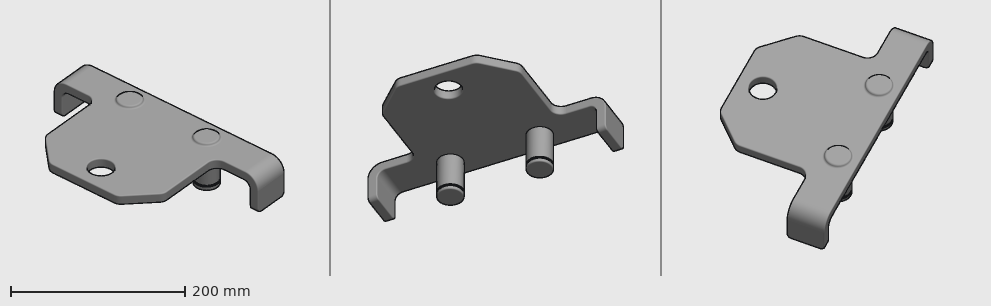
import cadquery as cq
import math

plate_length = 304.8
plate_depth = 177.8
thickness = 12.7
leg_height = 50.8
bend_outer_radius = 19.05
bend_inner_radius = 9.525
edge_round = 1.5875

wing_depth = 47.625
tongue_width = 177.8
corner_cut = 38.1
outline_round = 12.7
leg_corner_round = 6.35

hole_diameter = 31.877
hole_front_offset = 31.75
hole_y = hole_front_offset - plate_depth

pin_diameter = 31.75
pin_spacing = 114.3
pin_back_offset = 25.4
pin_length = 63.5
pin_end_round = 1.5875
groove_width = 1.8
groove_depth = 1.190625
groove_end_offset = 5.55625

head_height = 3.175
head_flat_radius = 13.2
head_base_radius = 18.1


def bent_section():
    """U-shaped bar: top plate and two legs, swept over the full depth."""
    inner_length = plate_length - 2 * thickness
    outer = (
        cq.Workplane("XY")
        .box(plate_length, plate_depth, leg_height, centered=(True, False, False))
        .edges("|Y and >Z")
        .fillet(bend_outer_radius)
    )
    inner = (
        cq.Workplane("XY")
        .box(inner_length, plate_depth, leg_height - thickness, centered=(True, False, False))
        .edges("|Y and >Z")
        .fillet(bend_inner_radius)
    )
    return outer.cut(inner).translate((0, -plate_depth, -leg_height))


def plan_block():
    """Plan outline of the plate, extruded over the full leg height."""
    half_length = plate_length / 2
    half_tongue = tongue_width / 2
    tongue_corners = [
        (half_tongue, -wing_depth),
        (half_tongue, corner_cut - plate_depth),
        (half_tongue - corner_cut, -plate_depth),
    ]
    right_side = [(half_length, 0), (half_length, -wing_depth)] + tongue_corners
    left_side = [(-x, y) for x, y in reversed(right_side)]
    block = cq.Workplane("XY").polyline(right_side + left_side).close().extrude(-leg_height)
    for x, y in tongue_corners:
        for side in (-1, 1):
            corner = cq.selectors.NearestToPointSelector((side * x, y, -leg_height / 2))
            block = block.edges(corner).fillet(outline_round)
    return block


def round_rims(plate):
    """Round the rims of both skins; each rim is one smooth loop through its front edge."""
    for z in (0, -thickness):
        front_edge = cq.selectors.NearestToPointSelector((0, -plate_depth, z))
        plate = plate.edges(front_edge).fillet(edge_round)
    return plate


def hole_cutter():
    """Through hole whose two mouths are rounded."""
    hole_radius = hole_diameter / 2
    mouth_radius = hole_radius + edge_round
    arc_inset = edge_round * (1 - math.sqrt(0.5))
    return (
        cq.Workplane("XZ")
        .moveTo(0, 0)
        .lineTo(mouth_radius, 0)
        .threePointArc((hole_radius + arc_inset, -arc_inset), (hole_radius, -edge_round))
        .lineTo(hole_radius, edge_round - thickness)
        .threePointArc((hole_radius + arc_inset, arc_inset - thickness), (mouth_radius, -thickness))
        .lineTo(0, -thickness)
        .close()
        .revolve(360, (0, 0, 0), (0, 1, 0))
        .translate((0, hole_y, 0))
    )


def bent_plate():
    """Bent section trimmed to the plan outline, with rounded corners, rims and the hole."""
    plate = bent_section().intersect(plan_block())
    plate = plate.faces("<Z").edges("|X").fillet(leg_corner_round)
    return round_rims(plate).cut(hole_cutter())


def pin():
    """Grooved pin with its domed weld head, axis on Z and plate top at Z = 0."""
    radius = pin_diameter / 2
    shank = cq.Workplane("XY").circle(radius).extrude(-pin_length)
    shank = shank.faces("<Z").edges().fillet(pin_end_round)
    groove = (
        cq.Workplane("XY")
        .workplane(offset=groove_end_offset - pin_length)
        .circle(radius)
        .circle(radius - groove_depth)
        .extrude(groove_width)
    )
    head_middle = ((head_flat_radius + head_base_radius) / 2, head_height / 2)
    head = (
        cq.Workplane("XZ")
        .moveTo(0, 0)
        .lineTo(0, head_height)
        .lineTo(head_flat_radius, head_height)
        .tangentArcPoint(head_middle, relative=False)
        .tangentArcPoint((head_base_radius, 0), relative=False)
        .close()
        .revolve(360, (0, 0, 0), (0, 1, 0))
    )
    return shank.cut(groove).union(head)


result = bent_plate()
for side in (-1, 1):
    result = result.union(pin().translate((side * pin_spacing / 2, -pin_back_offset, 0)))